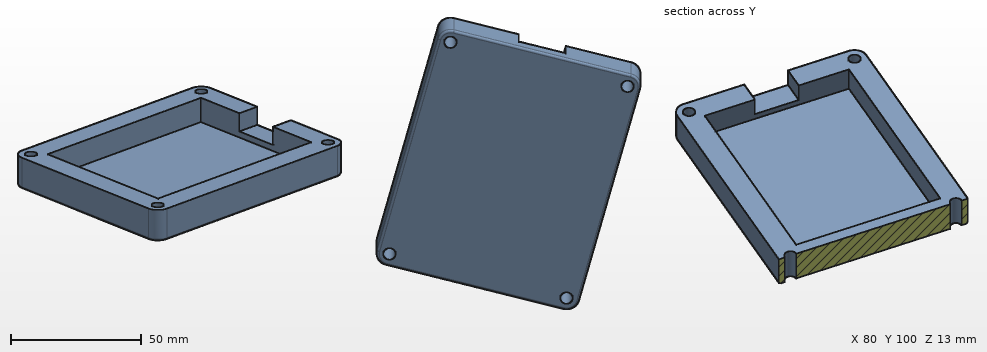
import cadquery as cq

length_x = 80.0
length_y = 100.0
height = 13.0
corner_radius = 5.0
bottom_fillet_radius = 1.0

wall = 9.5
floor_thickness = 3.0
pocket_x = length_x - 2 * wall
pocket_y = length_y - 2 * wall

notch_width = 18.5
notch_depth = 7.5

hole_diameter = 4.7
hole_inset = 5.0


def make_body():
    """Rounded block with a softened bottom rim."""
    block = cq.Workplane("XY").box(length_x, length_y, height, centered=(True, True, False))
    return block.edges("|Z").fillet(corner_radius).faces("<Z").edges().fillet(bottom_fillet_radius)


def make_pocket():
    """Rectangular cavity above the floor."""
    return (
        cq.Workplane("XY")
        .workplane(offset=floor_thickness)
        .rect(pocket_x, pocket_y)
        .extrude(height - floor_thickness)
    )


def make_notch():
    """Slot in the top of the +Y wall, centred on X, from the pocket to the outside."""
    return (
        cq.Workplane("XY")
        .workplane(offset=height - notch_depth)
        .center(0, (length_y - wall) / 2)
        .rect(notch_width, wall)
        .extrude(notch_depth)
    )


def make_holes():
    """Through holes, one in each corner."""
    spacing_x = length_x - 2 * hole_inset
    spacing_y = length_y - 2 * hole_inset
    return (
        cq.Workplane("XY")
        .rect(spacing_x, spacing_y, forConstruction=True)
        .vertices()
        .circle(hole_diameter / 2)
        .extrude(height)
    )


result = make_body().cut(make_pocket()).cut(make_notch()).cut(make_holes())